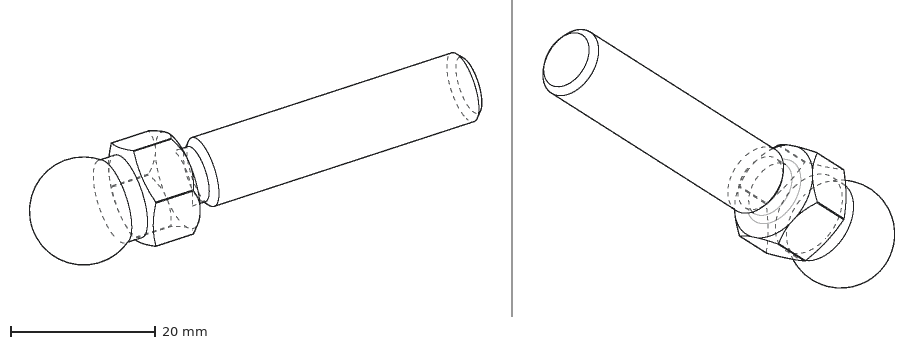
import cadquery as cq
import math

LENGTH = 67.0
BALL_RADIUS = 7.5
COLLAR_RADIUS = 6.0
HEX_FLATS = 14.0
HEX_CORNER_RADIUS = 8.05
UNDERCUT_RADIUS = 4.0
SHANK_RADIUS = 5.0
SHANK_CHAMFER = 0.95
HEX_BACK_CHAMFER = 1.0
UNDERCUT_FILLET = 0.9

HEX_FRONT = 14.4
HEX_FRONT_CORNER = 15.2
HEX_BACK = 22.05
SHANK_START = 24.9

BALL_TIP = -LENGTH / 2


def axial(distance):
    """Y position of a point at the given distance from the ball tip."""
    return BALL_TIP + distance


def revolve_profile(profile):
    """Turn a half profile, drawn as (radius, y), about the Y axis."""
    return profile.close().revolve(360, (0, 0, 0), (0, 1, 0))


def ball_and_collar():
    center = axial(BALL_RADIUS)
    ball_end = center + math.sqrt(BALL_RADIUS**2 - COLLAR_RADIUS**2)
    profile = (
        cq.Workplane("XY")
        .moveTo(0, BALL_TIP)
        .threePointArc((BALL_RADIUS, center), (COLLAR_RADIUS, ball_end))
        .lineTo(COLLAR_RADIUS, axial(HEX_BACK))
        .lineTo(0, axial(HEX_BACK))
    )
    return revolve_profile(profile)


def hexagon():
    """Hexagon with corners along Z, turned to a cone at each end."""
    across_corners = HEX_FLATS / math.cos(math.pi / 6)
    prism = (
        cq.Workplane("XZ", origin=(0, axial(HEX_BACK), 0))
        .transformed(rotate=(0, 0, 90))
        .polygon(6, across_corners)
        .extrude(HEX_BACK - HEX_FRONT)
    )
    envelope = (
        cq.Workplane("XY")
        .moveTo(0, axial(HEX_FRONT))
        .lineTo(COLLAR_RADIUS, axial(HEX_FRONT))
        .lineTo(HEX_CORNER_RADIUS, axial(HEX_FRONT_CORNER))
        .lineTo(HEX_CORNER_RADIUS, axial(HEX_BACK - HEX_BACK_CHAMFER))
        .lineTo(HEX_CORNER_RADIUS - HEX_BACK_CHAMFER, axial(HEX_BACK))
        .lineTo(0, axial(HEX_BACK))
    )
    return prism.intersect(revolve_profile(envelope))


def undercut_and_shank():
    hex_back = axial(HEX_BACK)
    shank_start = axial(SHANK_START)
    shank_end = axial(LENGTH)
    lead_in = SHANK_RADIUS - UNDERCUT_RADIUS
    diagonal = UNDERCUT_FILLET * (1 - math.sqrt(0.5))
    profile = (
        cq.Workplane("XY")
        .moveTo(0, hex_back)
        .lineTo(UNDERCUT_RADIUS + UNDERCUT_FILLET, hex_back)
        .threePointArc(
            (UNDERCUT_RADIUS + diagonal, hex_back + diagonal),
            (UNDERCUT_RADIUS, hex_back + UNDERCUT_FILLET),
        )
        .lineTo(UNDERCUT_RADIUS, shank_start)
        .lineTo(SHANK_RADIUS, shank_start + lead_in)
        .lineTo(SHANK_RADIUS, shank_end - SHANK_CHAMFER)
        .lineTo(SHANK_RADIUS - SHANK_CHAMFER, shank_end)
        .lineTo(0, shank_end)
    )
    return revolve_profile(profile)


result = ball_and_collar().union(hexagon()).union(undercut_and_shank())